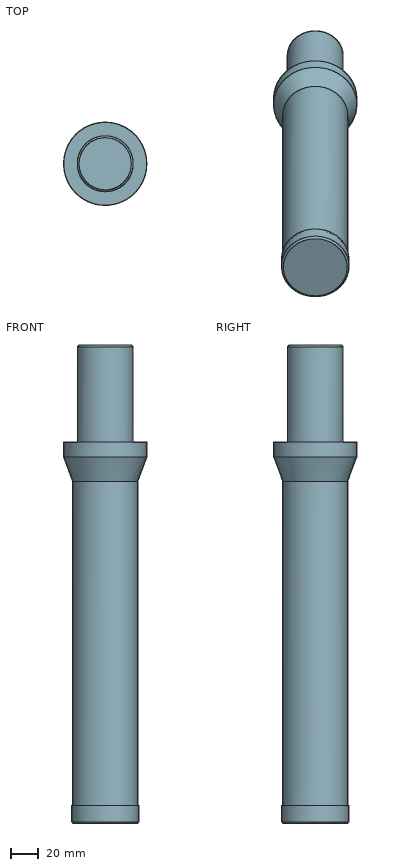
import cadquery as cq

total_height = 345.0
rod_height = 70.0
flange_height = 10.7
taper_height = 17.5
foot_height = 13.0

rod_diameter = 40.5
flange_diameter = 60.0
barrel_diameter = 47.0
foot_diameter = 48.5

rod_chamfer = 1.5
foot_chamfer = 1.5

flange_top = total_height - rod_height
flange_bottom = flange_top - flange_height
taper_bottom = flange_bottom - taper_height


def make_housing():
    """Revolved barrel with a chamfered foot and a flange on a conical neck."""
    foot_radius = foot_diameter / 2
    barrel_radius = barrel_diameter / 2
    flange_radius = flange_diameter / 2
    return (
        cq.Workplane("XZ")
        .moveTo(0, 0)
        .lineTo(foot_radius - foot_chamfer, 0)
        .lineTo(foot_radius, foot_chamfer)
        .lineTo(foot_radius, foot_height)
        .lineTo(barrel_radius, foot_height)
        .lineTo(barrel_radius, taper_bottom)
        .lineTo(flange_radius, flange_bottom)
        .lineTo(flange_radius, flange_top)
        .lineTo(0, flange_top)
        .close()
        .revolve(360, (0, 0), (0, 1))
    )


def make_rod():
    """Plain rod standing on the flange, chamfered at its free end."""
    return (
        cq.Workplane("XY", origin=(0, 0, flange_top))
        .circle(rod_diameter / 2)
        .extrude(rod_height)
        .faces(">Z")
        .chamfer(rod_chamfer)
    )


housing = make_housing()
rod = make_rod()

result = cq.Compound.makeCompound([housing.val(), rod.val()])